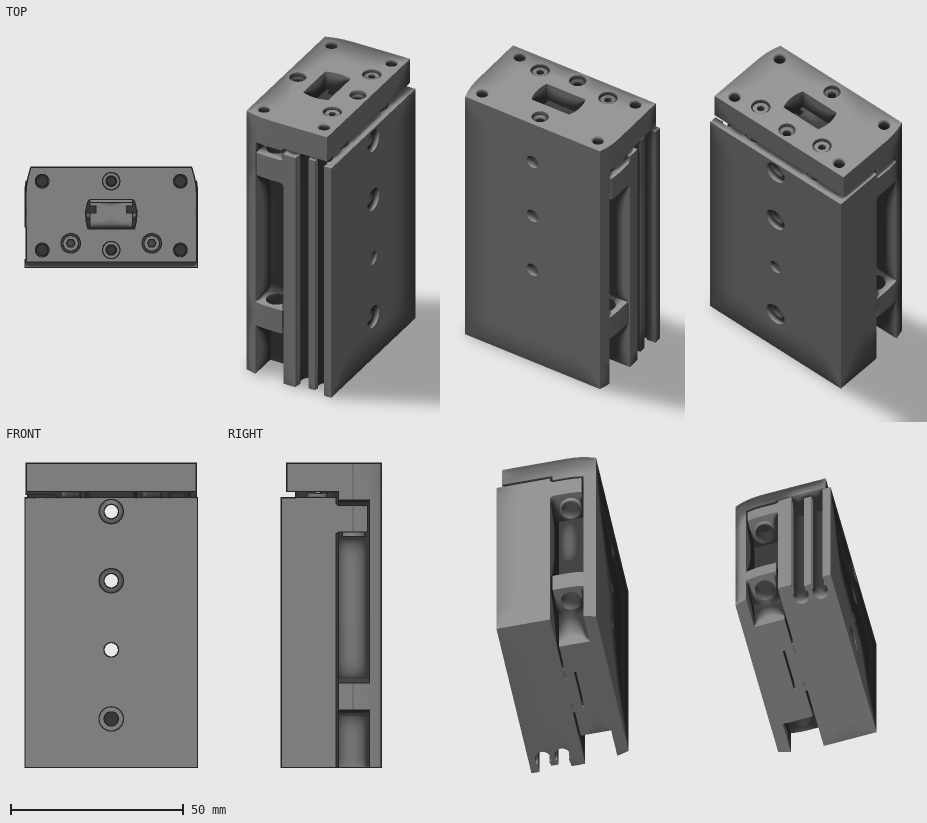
import cadquery as cq
import math


base_half_width = 25.0
slider_half_width = 24.6
total_height = 88
total_depth = 29
base_height = 78.1
deck_y = 15.8
flank_y = 20.9
flank_radius = 24.5

rebate_y_min = 2.4
rebate_y_max = 11.8
rebate_depth = 1.3
groove_entry = 3.7
groove_entry_depth = 0.8
groove_mouth = 3.3
groove_undercut = 4.5
groove_undercut_x = -22.1
groove_round_x = -20.8
front_groove_y = rebate_y_min + groove_entry / 2
rear_groove_y = rebate_y_max - groove_entry / 2

rail_half_width = 6.1
rail_front_y = 11.4
rail_rear_y = 18.9
rail_height = 82.3
shoulder_front_half_width = 6.8
shoulder_front_y = 11.7
shoulder_half_width = 7.4
shoulder_step_y = 14.1
shoulder_step = 0.2
shoulder_rise = shoulder_half_width - shoulder_front_half_width
shoulder_run = deck_y - shoulder_front_y
shoulder_radius = (shoulder_rise**2 + shoulder_run**2) / (2 * shoulder_rise)
notch_top_y = 17.8
notch_half_width = 4.4
carriage_top = 40.4

ear_bottom = 68.1
ear_height = 7.7
ear_rear_y = 25.0
ear_root_fillet = 1.2
ear_gap = 0.6
stop_x = 20.0
stop_y = 21.0
bumper_diameter = 6.6
bumper_height = 1.3
bumper_hole_diameter = 5.6

mount_pitch = 20.0
mount_bottom_z = 14.1
mount_count = 4
mount_zs = [mount_bottom_z + mount_pitch * i for i in range(mount_count)]
mount_diameter = 4.1
mount_bore_diameter = 7
mount_bore_depth = 1.5
plain_mount = 1

rod_x = 11.7
rod_y = 7
rod_diameter = 5.6
cylinder_diameter = 10.0
cylinder_depth = 5.3
cylinder_floor = base_height - cylinder_depth

plug_x = 19.9
plug_y = 10.5
plug_diameter = 6.0
plug_height = 1.3

end_plate_front_y = 1.6
end_plate_bottom = 79.8
core_front_y = 16.5
core_half_width = 15.4
back_plate_y = 25.5
slot_fillet = 1.6
slot_bottom = 24.5
left_slot_top = 78.9
right_slot_top = 77.4
foot_height = 16.6
stop_hole_diameter = 6.0

pad_spans = [(0.3, 4.0), (5.5, carriage_top)]

corner_hole_ys = [5.1, 25.0]
corner_hole_diameter = 3.3
corner_hole_rim = 4.0
corner_hole_depth = 7
center_hole_diameter = 2.5
center_hole_rim = 3.0
center_bore_diameter = 5.0
center_bore_depth = 1.3
screw_bore_diameter = 5.6
screw_bore_depth = 1.3
screw_head_diameter = 4.5
screw_head_height = 0.6
socket_diameter = 2.5
socket_depth = 1.8
socket_sides = 6
window_front_y = 11.2
window_rear_y = 19.6
window_bulge_y = 15.1
window_half_width = 7.4
window_front_half_width = 6.7
window_rear_half_width = 6.5
window_rear_fillet = 0.5


def box(x0, x1, y0, y1, z0, z1):
    """Block between two opposite corners."""
    return cq.Workplane("XY").box(x1 - x0, y1 - y0, z1 - z0, centered=False).translate((x0, y0, z0))


def cylinder(diameter, x, y, z0, z1):
    """Upright cylinder from z0 to z1."""
    return cq.Workplane("XY", origin=(x, y, z0)).circle(diameter / 2).extrude(z1 - z0)


def cross_bore(diameter, z, y0, y1):
    """Cylinder along Y on the centre line x = 0."""
    return cq.Workplane("XZ", origin=(0, y0, z)).circle(diameter / 2).extrude(y0 - y1)


def curved_flank_block(half_width, y0, y1, z0, z1):
    """Block whose two sides curve inwards behind flank_y."""
    inset = flank_radius - math.sqrt(flank_radius**2 - (y1 - flank_y) ** 2)
    rear_half_width = half_width - inset
    outline = (
        cq.Workplane("XY", origin=(0, 0, z0))
        .moveTo(-half_width, flank_y)
        .lineTo(-half_width, y0)
        .lineTo(half_width, y0)
        .lineTo(half_width, flank_y)
        .radiusArc((rear_half_width, y1), -flank_radius)
        .lineTo(-rear_half_width, y1)
        .radiusArc((-half_width, flank_y), -flank_radius)
        .close()
    )
    return outline.extrude(z1 - z0)


def base_ear(side):
    """Stop ear behind the deck with root fillets, a bumper below it and a hole through both."""
    ear_top = ear_bottom + ear_height
    inner_x = core_half_width + ear_gap
    ear = curved_flank_block(base_half_width, deck_y, ear_rear_y, ear_bottom, ear_top)
    root = box(-base_half_width, base_half_width, deck_y, deck_y + ear_root_fillet,
               ear_bottom - ear_root_fillet, ear_top + ear_root_fillet)
    for z in (ear_bottom - ear_root_fillet, ear_top + ear_root_fillet):
        scoop = cq.Workplane("YZ", origin=(-base_half_width, deck_y + ear_root_fillet, z))
        root = root.cut(scoop.circle(ear_root_fillet).extrude(2 * base_half_width))
    side_space = box(inner_x, base_half_width, deck_y, ear_rear_y, 0, base_height)
    if side < 0:
        side_space = side_space.mirror("YZ")
    bumper = cylinder(bumper_diameter, side * stop_x, stop_y, ear_bottom - bumper_height, ear_bottom)
    hole = cylinder(bumper_hole_diameter, side * stop_x, stop_y, ear_bottom - bumper_height, ear_top)
    return ear.union(root).intersect(side_space).union(bumper).cut(hole)


def guide_rail():
    """Rail with one notch along each side and a stepped, bulged shoulder at its foot."""
    rail = box(-rail_half_width, rail_half_width, rail_front_y, rail_rear_y, 0, rail_height)
    shoulder = (
        cq.Workplane("XY")
        .moveTo(-shoulder_front_half_width, shoulder_front_y)
        .lineTo(shoulder_front_half_width, shoulder_front_y)
        .radiusArc((shoulder_half_width, deck_y), -shoulder_radius)
        .lineTo(-shoulder_half_width, deck_y)
        .radiusArc((-shoulder_front_half_width, shoulder_front_y), -shoulder_radius)
        .close()
        .extrude(end_plate_bottom)
    )
    lowered = box(-shoulder_half_width, shoulder_half_width, shoulder_step_y, deck_y,
                  end_plate_bottom - shoulder_step, end_plate_bottom)
    rail = rail.union(shoulder.cut(lowered))
    for side in (-1, 1):
        notch = box(notch_half_width, rail_half_width, deck_y, notch_top_y, 0, rail_height)
        rail = rail.cut(notch if side > 0 else notch.mirror("YZ"))
    return rail


def sensor_grooves():
    """Shallow rebate in the -X side with two undercut, round-ended grooves."""
    outer_x = -base_half_width
    grooves = box(outer_x, outer_x + rebate_depth, rebate_y_min, rebate_y_max, 0, base_height)
    for y, lip_x in ((front_groove_y, outer_x + rebate_depth), (rear_groove_y, outer_x)):
        entry_end = lip_x + groove_entry_depth
        entry = box(outer_x, entry_end, y - groove_entry / 2, y + groove_entry / 2, 0, base_height)
        mouth = box(outer_x, groove_round_x, y - groove_mouth / 2, y + groove_mouth / 2, 0, base_height)
        undercut = box(groove_undercut_x, groove_round_x, y - groove_undercut / 2, y + groove_undercut / 2,
                       0, base_height)
        round_end = cylinder(groove_undercut, groove_round_x, y, 0, base_height)
        for part in (entry, mouth, undercut, round_end):
            grooves = grooves.union(part)
    return grooves


def make_base():
    body = box(-base_half_width, base_half_width, 0, deck_y, 0, base_height)
    body = body.cut(sensor_grooves())
    body = body.union(guide_rail())
    for side in (-1, 1):
        body = body.union(base_ear(side))
        body = body.cut(cylinder(cylinder_diameter, side * rod_x, rod_y, cylinder_floor, base_height))
    body = body.union(cylinder(plug_diameter, plug_x, plug_y, base_height, base_height + plug_height))
    for i, z in enumerate(mount_zs):
        body = body.cut(cross_bore(mount_diameter, z, 0, rail_rear_y))
        if i != plain_mount:
            body = body.cut(cross_bore(mount_bore_diameter, z, 0, mount_bore_depth))
    return body


def side_slot(side, z0, z1, filleted):
    """Pocket beside the core; the edges picked by the selector are rounded into the core."""
    slot = box(core_half_width, base_half_width, core_front_y, back_plate_y, z0, z1)
    slot = slot.edges("|Y and <X").edges(filleted).fillet(slot_fillet)
    return slot if side > 0 else slot.mirror("YZ")


def window():
    """Window with bulged sides through the end plate, continued above the rail carriage."""
    bulge_right = (window_half_width, window_bulge_y)
    bulge_left = (-window_half_width, window_bulge_y)
    outline = (
        cq.Workplane("XY", origin=(0, 0, carriage_top))
        .moveTo(-window_front_half_width, window_front_y)
        .lineTo(window_front_half_width, window_front_y)
        .threePointArc(bulge_right, (window_rear_half_width, window_rear_y))
        .lineTo(-window_rear_half_width, window_rear_y)
        .threePointArc(bulge_left, (-window_front_half_width, window_front_y))
        .close()
    )
    opening = outline.extrude(total_height - carriage_top)
    return opening.faces(">Y").edges("|Z").fillet(window_rear_fillet)


def stepped_hole(x, y, diameter, depth, rim_diameter, rim_z):
    """Blind hole with a 45 degree rim at height rim_z."""
    rim_depth = (rim_diameter - diameter) / 2
    hole = cylinder(diameter, x, y, rim_z - depth, rim_z)
    rim = cq.Workplane("XY", origin=(x, y, rim_z)).circle(rim_diameter / 2)
    return hole.union(rim.workplane(offset=-rim_depth).circle(diameter / 2).loft())


def rod(side):
    """Rod below the end plate, reaching the floor of its cylinder."""
    return cylinder(rod_diameter, side * rod_x, rod_y, cylinder_floor, end_plate_bottom)


def screw_recess(side):
    """Space around a sunk screw head, with its hexagon socket."""
    x = side * rod_x
    floor = total_height - screw_bore_depth
    head_top = floor + screw_head_height
    recess = cylinder(screw_bore_diameter, x, rod_y, floor, total_height)
    recess = recess.cut(cylinder(screw_head_diameter, x, rod_y, floor, head_top))
    socket = cq.Workplane("XY", origin=(x, rod_y, head_top)).polygon(socket_sides, socket_diameter)
    return recess.union(socket.extrude(-socket_depth))


def slider_body():
    """Full-height core and back plate under the end plate, with the rail channel."""
    body = curved_flank_block(slider_half_width, core_front_y, total_depth, 0, total_height)
    body = body.union(box(-slider_half_width, slider_half_width, end_plate_front_y, flank_y,
                          end_plate_bottom, total_height))
    for side, slot_top in ((-1, left_slot_top), (1, right_slot_top)):
        body = body.cut(side_slot(side, slot_bottom, slot_top, "|Y"))
        body = body.cut(side_slot(side, 0, foot_height, ">Z"))
        body = body.cut(cylinder(stop_hole_diameter, side * stop_x, stop_y, foot_height, slot_bottom))
    for z0, z1 in pad_spans:
        body = body.union(box(-shoulder_half_width, shoulder_half_width, deck_y, core_front_y, z0, z1))
    neck = box(-notch_half_width, notch_half_width, deck_y, notch_top_y, 0, carriage_top)
    head = box(-rail_half_width, rail_half_width, notch_top_y, window_rear_y, 0, carriage_top)
    return body.cut(neck).cut(head)


def make_slider():
    body = slider_body().cut(window())
    for side in (-1, 1):
        body = body.union(rod(side)).cut(screw_recess(side))
    for y in corner_hole_ys:
        for x in (-stop_x, stop_x):
            body = body.cut(stepped_hole(x, y, corner_hole_diameter, corner_hole_depth,
                                         corner_hole_rim, total_height))
        bore_floor = total_height - center_bore_depth
        body = body.cut(cylinder(center_bore_diameter, 0, y, bore_floor, total_height))
        body = body.cut(stepped_hole(0, y, center_hole_diameter, corner_hole_depth - center_bore_depth,
                                     center_hole_rim, bore_floor))
    for z in mount_zs[1:]:
        body = body.cut(cross_bore(mount_diameter, z, core_front_y, total_depth))
    return body


base = make_base()
slider = make_slider()
result = cq.Compound.makeCompound([base.val(), slider.val()])